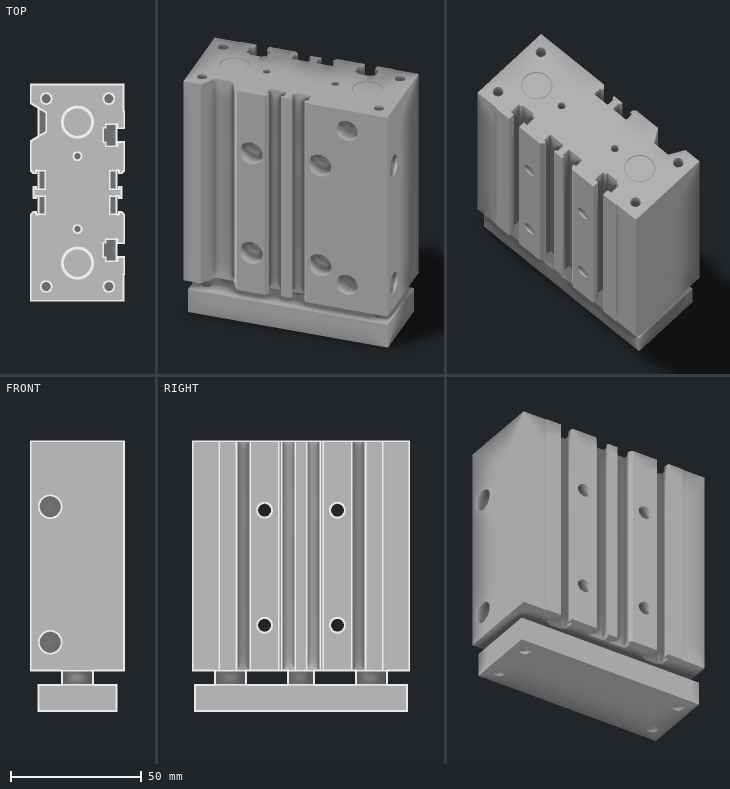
import cadquery as cq


housing_width = 36.0
housing_length = 83.0
housing_height = 88.0
plate_thickness = 10.0
total_height = 103.5
housing_base = total_height - housing_height

half_width = housing_width / 2
half_length = housing_length / 2

plate_width = 30.0
plate_length = 81.4
guide_diameter = 12.0
guide_y = 27.0
guide_end_chamfer = 0.4
piston_diameter = 10.0
piston_insertion = housing_height / 2
plate_hole_diameter = 4.2
plate_hole_x = 9.0
plate_hole_y = 35.2

corner_hole_diameter = 4.1
corner_hole_x = 12.0
corner_hole_y = 36.0
corner_hole_depth = 10.0
plug_hole_diameter = 3.1
plug_hole_depth = 5.0

relief_depth = 0.3
raised_half_length = 31.3

dovetail_depth = 6.0
dovetail_mouth_half = 7.2
dovetail_floor_half = 3.7

sensor_pocket_half = 8.4
sensor_lip_half = 7.3
sensor_lip_recess = 1.1
sensor_lip_thickness = 1.0
sensor_depth = 5.7
rib_half = 1.3
rib_cap_half = 2.2

tslot_y = 22.0
tslot_neck_half = 2.6
tslot_head_half = 4.2
tslot_lip = 2.7
tslot_head_floor = 7.2
tslot_groove_half = 2.8
tslot_groove_floor = 8.1

mount_diameter = 5.6
mount_bore_diameter = 9.5
mount_bore_depth = 5.4
mount_y = 14.0
mount_heights = (17.4, 61.5)

port_diameter = 8.7
port_depth = 10.0
side_port_y = -25.0
side_port_heights = (10.9, 79.0)
end_port_x = -10.5
end_port_heights = (10.9, 62.8)


def extrude_outline(points):
    """Prism over the full housing height."""
    outline = cq.Workplane("XY").workplane(offset=housing_base)
    return outline.polyline(points).close().extrude(housing_height)


def housing_prism(x_start, x_end, y_start, y_end):
    """Rectangular prism over the full housing height."""
    return extrude_outline([(x_start, y_start), (x_end, y_start), (x_end, y_end), (x_start, y_end)])


def top_holes(points, diameter, depth):
    """Blind holes sunk from the top face."""
    face = cq.Workplane("XY").workplane(offset=total_height - depth)
    return face.pushPoints(points).circle(diameter / 2).extrude(depth)


def x_cylinders(points, diameter, depth):
    """Cylinders running in +X from the -X face, placed by (y, z)."""
    face = cq.Workplane("YZ").workplane(offset=-half_width)
    return face.pushPoints(points).circle(diameter / 2).extrude(depth)


def dovetail_groove():
    floor_x = dovetail_depth - half_width
    return extrude_outline([
        (-half_width, guide_y - dovetail_mouth_half),
        (floor_x, guide_y - dovetail_floor_half),
        (floor_x, guide_y + dovetail_floor_half),
        (-half_width, guide_y + dovetail_mouth_half),
    ])


def sensor_slot():
    """The +X, +Y one of the four sensor slots beside the ribs, its mouth bevelled at 45 degrees."""
    lip_front = half_width - sensor_lip_recess
    lip_back = lip_front - sensor_lip_thickness
    floor_x = half_width - sensor_depth
    return extrude_outline([
        (half_width, 0),
        (lip_front, 0),
        (lip_front, rib_cap_half),
        (lip_back, rib_cap_half),
        (lip_back, rib_half),
        (floor_x, rib_half),
        (floor_x, sensor_pocket_half),
        (lip_back, sensor_pocket_half),
        (lip_back, sensor_lip_half),
        (lip_front, sensor_lip_half),
        (half_width, sensor_lip_half + sensor_lip_recess),
    ])


def t_slot(center_y):
    lip_x = half_width - tslot_lip
    head_x = half_width - tslot_head_floor
    groove_x = half_width - tslot_groove_floor
    neck = housing_prism(lip_x, half_width, center_y - tslot_neck_half, center_y + tslot_neck_half)
    head = housing_prism(head_x, lip_x, center_y - tslot_head_half, center_y + tslot_head_half)
    groove = housing_prism(groove_x, head_x, center_y - tslot_groove_half, center_y + tslot_groove_half)
    return neck.union(head).union(groove)


def mounting_holes():
    points = [(y, housing_base + z) for y in (-mount_y, mount_y) for z in mount_heights]
    through = x_cylinders(points, mount_diameter, housing_width)
    return through.union(x_cylinders(points, mount_bore_diameter, mount_bore_depth))


def side_ports():
    points = [(side_port_y, housing_base + z) for z in side_port_heights]
    return x_cylinders(points, port_diameter, port_depth)


def end_ports():
    points = [(end_port_x, housing_base + z) for z in end_port_heights]
    floor = cq.Workplane("XZ").workplane(offset=half_length - port_depth)
    return floor.pushPoints(points).circle(port_diameter / 2).extrude(port_depth)


def rod_bores():
    """Guide bores through the housing and the blind bore that holds the piston rod."""
    base = cq.Workplane("XY").workplane(offset=housing_base)
    piston = base.circle(piston_diameter / 2).extrude(piston_insertion)
    guide_points = base.pushPoints([(0, -guide_y), (0, guide_y)])
    return piston.union(guide_points.circle(guide_diameter / 2).extrude(housing_height))


def make_housing():
    body = housing_prism(-half_width, half_width, -half_length, half_length)

    relief_x = half_width - relief_depth
    body = body.cut(housing_prism(relief_x, half_width, raised_half_length, half_length))
    body = body.cut(housing_prism(relief_x, half_width, -half_length, -raised_half_length))

    body = body.cut(dovetail_groove())
    slot = sensor_slot()
    for half_pair in (slot, slot.mirror("YZ")):
        body = body.cut(half_pair).cut(half_pair.mirror("XZ"))
    for center_y in (-tslot_y, tslot_y):
        body = body.cut(t_slot(center_y))

    corners = [(x, y) for x in (-corner_hole_x, corner_hole_x) for y in (-corner_hole_y, corner_hole_y)]
    body = body.cut(top_holes(corners, corner_hole_diameter, corner_hole_depth))
    plugs = [(0, -mount_y), (0, mount_y)]
    body = body.cut(top_holes(plugs, plug_hole_diameter, plug_hole_depth))
    body = body.cut(mounting_holes()).cut(side_ports()).cut(end_ports())
    return body.cut(rod_bores())


def make_slide():
    """Tool plate, two chamfered guide rods flush with the housing top, and a piston rod."""
    plate = cq.Workplane("XY").rect(plate_width, plate_length).extrude(plate_thickness)
    plate_holes = (
        cq.Workplane("XY")
        .rect(2 * plate_hole_x, 2 * plate_hole_y, forConstruction=True)
        .vertices()
        .circle(plate_hole_diameter / 2)
        .extrude(plate_thickness)
    )
    guides = (
        cq.Workplane("XY")
        .pushPoints([(0, -guide_y), (0, guide_y)])
        .circle(guide_diameter / 2)
        .extrude(total_height)
        .faces(">Z")
        .chamfer(guide_end_chamfer)
    )
    piston = cq.Workplane("XY").circle(piston_diameter / 2).extrude(housing_base + piston_insertion)
    return plate.cut(plate_holes).union(guides).union(piston)


housing = make_housing()
slide = make_slide()
result = cq.Compound.makeCompound([housing.val(), slide.val()])